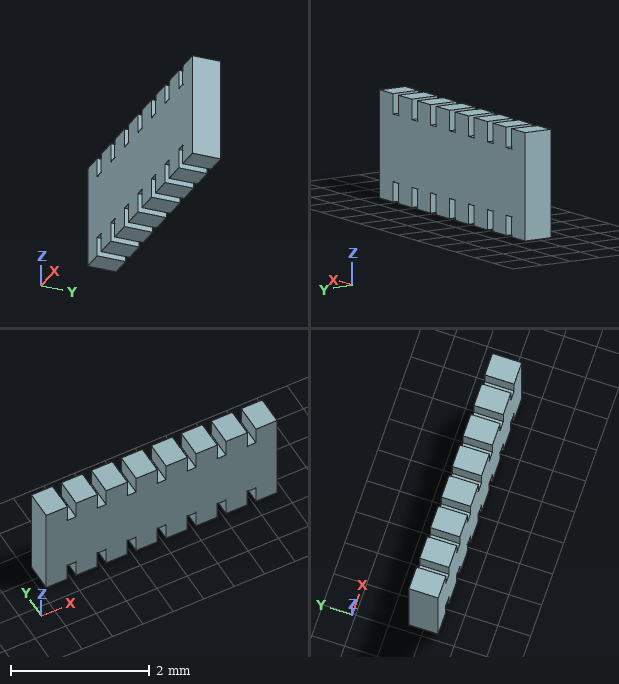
import cadquery as cq

length = 3.8
thickness = 0.45
height = 1.6

tooth_count = 8
tooth_width = 0.35
notch_depth = 0.3
notch_count = tooth_count - 1
notch_width = (length - tooth_count * tooth_width) / notch_count
notch_pitch = tooth_width + notch_width


def make_block():
    """Plain block centred on the origin."""
    return cq.Workplane("XY").box(length, thickness, height)


def make_notch_row(side):
    """Row of notches through the thickness, open at the top (+1) or bottom (-1) edge."""
    center_z = side * (height - notch_depth) / 2
    return (
        cq.Workplane("XY")
        .workplane(offset=center_z)
        .rarray(notch_pitch, 1, notch_count, 1)
        .box(notch_width, thickness, notch_depth)
    )


result = make_block()
for side in (1, -1):
    result = result.cut(make_notch_row(side))